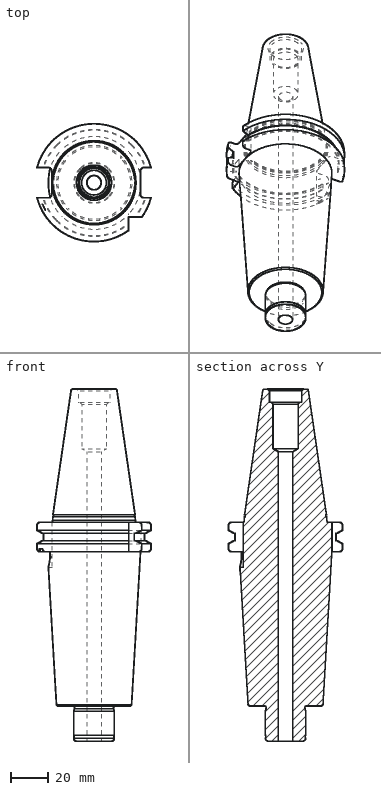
import cadquery as cq
import math


total_length = 189.4
taper_top = 68.4
spigot_bottom = taper_top - total_length
flange_top = -3.2
flange_width = 16.0
flange_bottom = flange_top - flange_width
flange_middle = (flange_top + flange_bottom) / 2
body_collar_height = 1.0
cone_start = flange_bottom - body_collar_height
body_bottom = -102.0

gauge_diameter = 44.5
gauge_radius = gauge_diameter / 2
taper_ratio = 7 / 24
taper_slope = taper_ratio / 2
taper_rim_fillet = 1.0
taper_end = 0.8
relief_radius = 21.8
relief_end = -0.4
collar_end = -2.0
collar_flare = 0.4

flange_diameter = 63.5
flange_radius = flange_diameter / 2
flange_fillet = 1.7
groove_radius = 28.5
groove_step = 0.4
groove_floor_half = 1.9
groove_flank_angle = 30
flank_foot_radius = groove_radius + groove_step
flank_depth = flange_radius - flank_foot_radius
groove_mouth_half = groove_floor_half + flank_depth * math.tan(math.radians(groove_flank_angle))

body_top_radius = 25.0
body_bottom_radius = 20.3
body_chamfer = 0.8
neck_radius = 10.6
neck_root_fillet = 0.5
neck_end = -103.6
spigot_radius = 11.0
spigot_lead_end = -104.7
band_radius = 10.8
band_top = -117.6
spigot_fillet = 1.7
band_bottom = spigot_bottom + spigot_fillet

mouth_radius = 9.5
bore_radius = 8.5
bore_depth = 7.0
thread_lead_radius = 7.8
thread_radius = 6.6
thread_depth = 32.0
drill_tip_angle = 118
through_radius = 3.8

slot_width = 16.1
slot_corner_fillet = 1.7
deep_slot_floor = 22.7
shallow_slot_floor = 25.0
slot_end_drop = 0.2
slot_end_center = flange_bottom - slot_end_drop
notch_offset = 18.5


def taper_radius(z):
    """Outer radius of the steep taper at height z."""
    return gauge_radius - taper_slope * z


def make_shank():
    """Taper, collar and body with its spigot, without the flange."""
    shank = (
        cq.Workplane("XZ")
        .moveTo(0, taper_top)
        .lineTo(taper_radius(taper_top), taper_top)
        .lineTo(taper_radius(taper_end), taper_end)
        .lineTo(relief_radius, taper_end)
        .lineTo(relief_radius, relief_end)
        .lineTo(gauge_radius, relief_end)
        .lineTo(gauge_radius, collar_end)
        .lineTo(gauge_radius + collar_flare, flange_top)
        .lineTo(body_top_radius, flange_top)
        .lineTo(body_top_radius, cone_start)
        .lineTo(body_bottom_radius, body_bottom + body_chamfer)
        .lineTo(body_bottom_radius - body_chamfer, body_bottom)
        .lineTo(neck_radius + neck_root_fillet, body_bottom)
        .radiusArc((neck_radius, body_bottom - neck_root_fillet), -neck_root_fillet)
        .lineTo(neck_radius, neck_end)
        .lineTo(spigot_radius, spigot_lead_end)
        .lineTo(spigot_radius, band_top)
        .lineTo(band_radius, band_top)
        .lineTo(band_radius, band_bottom)
        .lineTo(spigot_radius, band_bottom)
        .radiusArc((spigot_radius - spigot_fillet, spigot_bottom), spigot_fillet)
        .lineTo(0, spigot_bottom)
        .close()
        .revolve(360, (0, 0, 0), (0, 1, 0))
    )
    return shank.faces(">Z").edges(cq.selectors.RadiusNthSelector(-1)).fillet(taper_rim_fillet)


def make_flange():
    """Flange disc with rounded rims and a V groove around its middle."""
    disc = (
        cq.Workplane("XY", origin=(0, 0, flange_bottom))
        .circle(flange_radius)
        .extrude(flange_width)
        .edges("%CIRCLE")
        .fillet(flange_fillet)
    )
    groove = (
        cq.Workplane("XZ")
        .moveTo(groove_radius, flange_middle - groove_floor_half)
        .lineTo(flank_foot_radius, flange_middle - groove_floor_half)
        .lineTo(flange_radius, flange_middle - groove_mouth_half)
        .lineTo(flange_radius, flange_middle + groove_mouth_half)
        .lineTo(flank_foot_radius, flange_middle + groove_floor_half)
        .lineTo(groove_radius, flange_middle + groove_floor_half)
        .close()
        .revolve(360, (0, 0, 0), (0, 1, 0))
    )
    return disc.cut(groove)


def make_bore():
    """Stepped bore for the pull stud, ending in a drill tip and a coolant hole."""
    mouth_depth = mouth_radius - bore_radius
    bore_floor = taper_top - bore_depth
    thread_lead = thread_lead_radius - thread_radius
    thread_floor = taper_top - thread_depth
    tip_height = (thread_radius - through_radius) / math.tan(math.radians(drill_tip_angle / 2))
    return (
        cq.Workplane("XZ")
        .moveTo(0, taper_top)
        .lineTo(mouth_radius, taper_top)
        .lineTo(bore_radius, taper_top - mouth_depth)
        .lineTo(bore_radius, bore_floor)
        .lineTo(thread_lead_radius, bore_floor)
        .lineTo(thread_radius, bore_floor - thread_lead)
        .lineTo(thread_radius, thread_floor)
        .lineTo(through_radius, thread_floor - tip_height)
        .lineTo(through_radius, spigot_bottom)
        .lineTo(0, spigot_bottom)
        .close()
        .revolve(360, (0, 0, 0), (0, 1, 0))
    )


def make_drive_slot(floor, side):
    """Slot cutter on one X side: filleted floor corners and a round lower end."""
    half_width = slot_width / 2
    slot_end = slot_end_center - half_width
    height = flange_top - slot_end
    depth = flange_radius - floor
    channel = (
        cq.Workplane("XY", origin=(side * (floor + depth / 2), 0, slot_end))
        .rect(depth, slot_width)
        .extrude(height)
        .edges("|Z and <X" if side > 0 else "|Z and >X")
        .fillet(slot_corner_fillet)
    )
    outline = (
        cq.Workplane("YZ")
        .moveTo(-half_width, flange_top)
        .lineTo(-half_width, slot_end_center)
        .threePointArc((0, slot_end), (half_width, slot_end_center))
        .lineTo(half_width, flange_top)
        .close()
        .extrude(side * flange_radius)
    )
    return channel.intersect(outline)


def make_corner_notch():
    """Square notch cutting the flange in its +X, -Y quarter."""
    size = flange_radius - notch_offset
    corner = (notch_offset, -flange_radius, flange_bottom)
    return cq.Workplane("XY", origin=corner).box(size, size, flange_width, centered=False)


result = (
    make_shank()
    .union(make_flange())
    .cut(make_drive_slot(deep_slot_floor, -1))
    .cut(make_drive_slot(shallow_slot_floor, 1))
    .cut(make_corner_notch())
    .cut(make_bore())
)